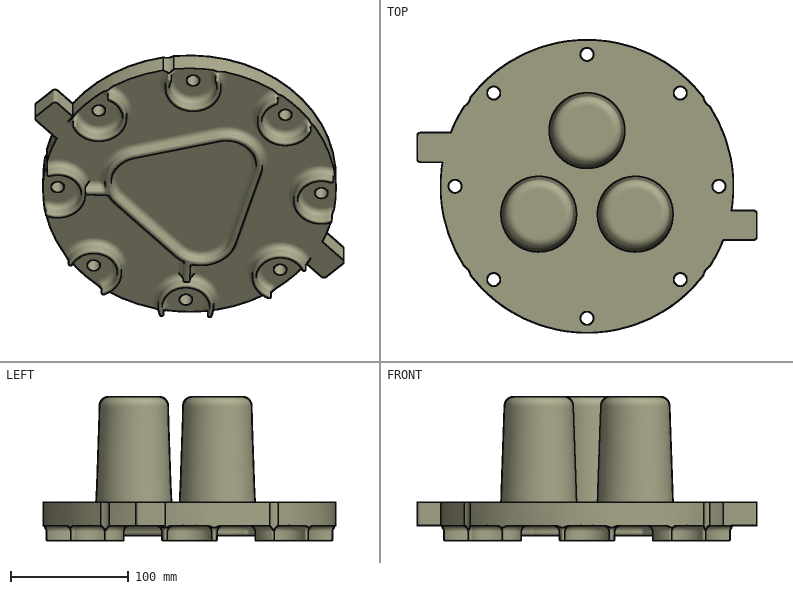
import cadquery as cq
import math

PLATE_RADIUS = 125.0
PLATE_THICKNESS = 20.0

TAB_REACH = 144.95
TAB_WIDTH = 25.4
TAB_OFFSET = 33.2
TAB_CORNER_RADIUS = 3.0

BOLT_COUNT = 8
BOLT_CIRCLE_RADIUS = 112.5
BOLT_HOLE_DIAMETER = 11.0

NOTCH_RADIUS = 11.0
NOTCH_DEPTH = 1.1
NOTCH_ANGLES = [35.2, 144.8, 215.2, 324.8]

ROOT_RADIUS = 5.0
CUP_HEIGHT = 13.0
CUP_OUTER_RADIUS = 23.65
CUP_WALL = 3.4
CUP_TIP_RADIUS = 1.5
CUP_END_RADIUS = 123.8

WALL_HEIGHT = 8.6
WALL_THICKNESS = 5.4
WALL_TIP_RADIUS = 2.6
WALL_CORNER_X = 37.2
WALL_CORNER_RADIUS = 31.0
RIB_ANGLES = [225.0, 315.0]
RIB_BLEND_RADIUS = 3.0

FINGER_COUNT = 3
FINGER_CIRCLE_RADIUS = 47.5
FINGER_HEIGHT = 90.0
FINGER_BASE_RADIUS = 32.3
FINGER_DRAFT = 2.0
FINGER_TOP_RADIUS = 8.0


def polar(radius, degrees):
    """Point at the given radius and angle about the Z axis."""
    angle = math.radians(degrees)
    return radius * math.cos(angle), radius * math.sin(angle)


def make_disc_with_tabs():
    disc = cq.Workplane("XY").circle(PLATE_RADIUS).extrude(PLATE_THICKNESS)
    for side in (1, -1):
        tab = (
            cq.Workplane("XY")
            .center(side * TAB_REACH / 2, -side * TAB_OFFSET)
            .rect(TAB_REACH, TAB_WIDTH)
            .extrude(PLATE_THICKNESS)
            .edges("|Z and " + (">X" if side > 0 else "<X"))
            .fillet(TAB_CORNER_RADIUS)
        )
        disc = disc.union(tab)
    return disc


def make_triangle_wall():
    """Closed wall along a rounded triangle, joined to two cups by straight ribs."""
    corner_distance = WALL_CORNER_X / math.cos(math.radians(30))
    corners = [polar(corner_distance, angle) for angle in (90, 210, 330)]
    outer = (
        cq.Workplane("XY")
        .polyline(corners)
        .close()
        .offset2D(WALL_CORNER_RADIUS)
        .extrude(-WALL_HEIGHT)
    )
    inner = (
        cq.Workplane("XY")
        .polyline(corners)
        .close()
        .offset2D(WALL_CORNER_RADIUS - WALL_THICKNESS)
        .extrude(-WALL_HEIGHT)
    )
    rib_end = BOLT_CIRCLE_RADIUS - CUP_OUTER_RADIUS + CUP_WALL / 2
    solid = outer
    for angle in RIB_ANGLES:
        rib = (
            cq.Workplane("XY")
            .center(rib_end / 2, 0)
            .rect(rib_end, WALL_THICKNESS)
            .extrude(-WALL_HEIGHT)
            .rotate((0, 0, 0), (0, 0, 1), angle)
        )
        solid = solid.union(rib)
    rib_root = cq.selectors.BoxSelector((-62, -62, -WALL_HEIGHT), (62, -42, 0))
    solid = solid.edges("|Z").edges(rib_root).fillet(RIB_BLEND_RADIUS)
    return solid.cut(inner).faces("<Z").edges().fillet(WALL_TIP_RADIUS)


def cup_half_section(centre_radius, side):
    """Half section of a cup wall, on the given side of its centreline at X = centre_radius.

    It has the root flare at Z = 0 and a rounded tip at the bottom.
    """
    half = CUP_WALL / 2
    tip = CUP_TIP_RADIUS
    bend = 1 - math.sqrt(0.5)

    def point(offset, depth):
        return centre_radius + side * offset, -depth

    return (
        cq.Workplane("XZ")
        .moveTo(*point(0, 0))
        .lineTo(*point(half + ROOT_RADIUS, 0))
        .threePointArc(point(half + ROOT_RADIUS * bend, ROOT_RADIUS * bend), point(half, ROOT_RADIUS))
        .lineTo(*point(half, CUP_HEIGHT - tip))
        .threePointArc(point(half - tip * bend, CUP_HEIGHT - tip * bend), point(half - tip, CUP_HEIGHT))
        .lineTo(*point(0, CUP_HEIGHT))
        .close()
    )


def revolve_about_z(section, degrees, start):
    """Solid swept by the section about the Z axis, counterclockwise from the start angle."""
    swept = section.revolve(degrees, (0, 0, 0), (0, 1, 0))
    return swept.rotate((0, 0, 0), (0, 0, 1), start)


def make_cup():
    """Arc wall around the bolt at angle 0, open towards the rim, with rounded ends."""
    centre_radius = CUP_OUTER_RADIUS - CUP_WALL / 2
    end_distance = CUP_END_RADIUS - CUP_WALL / 2
    end_cosine = (end_distance**2 - BOLT_CIRCLE_RADIUS**2 - centre_radius**2) / (
        2 * BOLT_CIRCLE_RADIUS * centre_radius
    )
    end_angle = math.degrees(math.acos(end_cosine))

    arc_span = 360 - 2 * end_angle
    cup = revolve_about_z(cup_half_section(centre_radius, 1), arc_span, end_angle)
    cup = cup.union(revolve_about_z(cup_half_section(centre_radius, -1), arc_span, end_angle))
    for angle, start in ((end_angle, end_angle + 180), (-end_angle, -end_angle)):
        x, y = polar(centre_radius, angle)
        end = revolve_about_z(cup_half_section(0, 1), 180, start)
        cup = cup.union(end.translate((x, y, 0)))

    rim = cq.Workplane("XY").circle(PLATE_RADIUS).extrude(-CUP_HEIGHT)
    return cup.translate((BOLT_CIRCLE_RADIUS, 0, 0)).intersect(rim)


def make_notches():
    """Cutters for the rim notches, deep enough to trim the root flares beside them as well."""
    notch_distance = PLATE_RADIUS - NOTCH_DEPTH + NOTCH_RADIUS
    return (
        cq.Workplane("XY", origin=(0, 0, -ROOT_RADIUS))
        .pushPoints([polar(notch_distance, angle) for angle in NOTCH_ANGLES])
        .circle(NOTCH_RADIUS)
        .extrude(ROOT_RADIUS + PLATE_THICKNESS)
    )


def make_plate():
    bolt_angles = [i * 360 / BOLT_COUNT for i in range(BOLT_COUNT)]
    bolt_points = [polar(BOLT_CIRCLE_RADIUS, angle) for angle in bolt_angles]
    holes = (
        cq.Workplane("XY")
        .pushPoints(bolt_points)
        .circle(BOLT_HOLE_DIAMETER / 2)
        .extrude(PLATE_THICKNESS)
    )
    plate = make_disc_with_tabs().union(make_triangle_wall())

    inside = BOLT_CIRCLE_RADIUS
    flat = 0.1
    wall_roots = cq.selectors.BoxSelector(
        (-inside, -inside, -flat), (inside, inside, flat), boundingbox=True
    )
    plate = plate.edges(wall_roots).fillet(ROOT_RADIUS).cut(holes)

    cup = make_cup()
    for angle in bolt_angles:
        plate = plate.union(cup.rotate((0, 0, 0), (0, 0, 1), angle))
    return plate.cut(make_notches(), clean=False)


def make_finger(angle):
    x, y = polar(FINGER_CIRCLE_RADIUS, angle)
    return (
        cq.Workplane("XY", origin=(x, y, PLATE_THICKNESS))
        .circle(FINGER_BASE_RADIUS)
        .extrude(FINGER_HEIGHT, taper=FINGER_DRAFT)
        .faces(">Z")
        .edges()
        .fillet(FINGER_TOP_RADIUS)
    )


plate = make_plate()
fingers = [make_finger(90 + i * 360 / FINGER_COUNT) for i in range(FINGER_COUNT)]

result = cq.Compound.makeCompound([plate.val(), *[finger.val() for finger in fingers]])